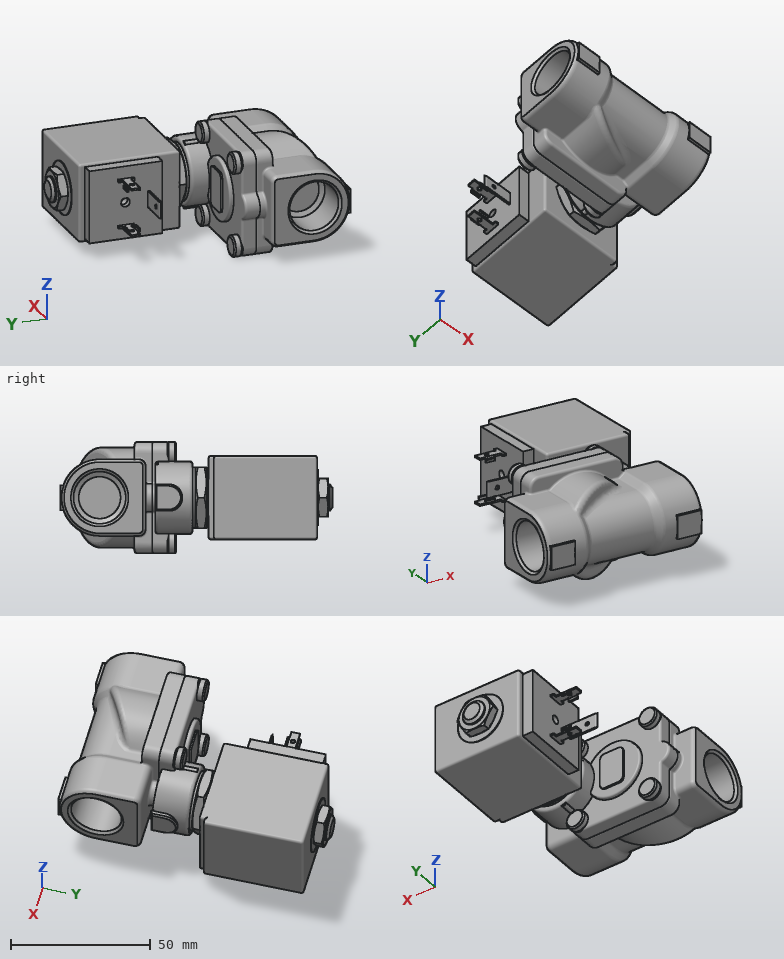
import cadquery as cq
import math


PORT_END_X = 33.0
PORT_INNER_X = 13.7
PORT_RADIUS = 13.8
PORT_TOP_Y = 16.5
PORT_CORNER = 2.4
PORT_END_ROUNDING = 2.1
PORT_END_TRIM = 0.34
PORT_SHOULDER_LENGTH = 2.7
PORT_SHOULDER_FILLET = 1.95
NECK_RADIUS = 11.7
NECK_END_X = 24.4
NECK_FILLET = 1.5
BORE_RADIUS = 9.4
BORE_MOUTH_RADIUS = 10.3
BORE_DEPTH = 14.6
BORE_TAPER_LENGTH = 1.1
BORE_FLOOR_RADIUS = 7.5
WRENCH_PAD_LENGTH = 10.1
WRENCH_PAD_WIDTH = 9.1
WRENCH_PAD_X = 26.9
WRENCH_PAD_Y = -14.0

CHAMBER_X = -4.1
CHAMBER_RADIUS = 18.0
CHAMBER_SLOPE = 27.0
CHAMBER_FLOOR_Y = -1.5
CHAMBER_EDGE_FILLET = 2.0
CHAMBER_ROOT_FILLET = 2.5
CHAMBER_TOP_Y = 13.5

FLANGE_SIDE = 40.0
FLANGE_CORNER = 4.0
FLANGE_LOW_Y = 12.5
FLANGE_SPLIT_Y = 18.9
FLANGE_FILLET = 1.1
FLANGE_ROOT_FILLET = 0.8
SPLIT_FILLET_BODY = 0.4
SPLIT_FILLET_COVER = 0.6
LUG_RADIUS = 5.0
LUG_ROOT_FILLET = 0.9
LUG_LEFT_X = -22.8

COVER_TOP_Y = 24.8
COVER_TOP_FILLET = 1.0
SEAT_RADIUS = 3.9
SEAT_HEIGHT = 1.95
DISC_RADIUS = 12.0
DISC_TOP_Y = 26.4
DISC_FILLET = 0.7
PLATE_LENGTH = 10.1
PLATE_WIDTH = 15.4
PLATE_TOP_Y = 27.1
PLATE_CORNER = 1.95
BOSS_RADIUS = 13.0
BOSS_LOW_Y = 19.9
BOSS_TOP_Y = 33.4
BOSS_FILLET = 1.2
BOSS_RIB_RADIUS = 1.1
BOSS_RIB_OFFSET_X = -3.9
BOSS_RIB_TOP_Y = 32.7
BOSS_RIB_SINK = 0.4
PLUG_Y = 24.9
PLUG_RADIUS = 4.8
PLUG_END_X = 30.8
PLUG_CHAMFER = 0.6

SCREW_HEAD_RADIUS = FLANGE_CORNER
SCREW_HEAD_HEIGHT = 2.7
SCREW_HEAD_CHAMFER = 0.6
SCREW_RADIUS = 1.95
SCREW_DEPTH = 9.8

STEM_X = 17.0
STEM_RADIUS = 4.8
STEM_TOP_Y = 83.5
STEM_TIP_HEIGHT = 1.0
STEM_TIP_INSET = 1.3
STEM_COLLAR_RADIUS = 10.9
STEM_NECK_RADIUS = 6.6
HEX_LOW_Y = 34.3
HEX_TOP_Y = 38.4
HEX_CORNER_RADIUS = 12.7
HEX_CHAMFER_HEIGHT = 0.9
HEX_CHAMFER_INSET = 2.2

WASHER_RADIUS = 9.9
WASHER_HEIGHT = 0.3
NUT_TOP_Y = 81.9
NUT_CORNER_RADIUS = 8.0
NUT_CHAMFER_HEIGHT = 0.5
NUT_CHAMFER_INSET = 1.2

COIL_LEFT_X = 0.1
COIL_RIGHT_X = 37.55
COIL_LOW_Y = 39.0
COIL_TOP_Y = 78.0
COIL_DEPTH = 30.0
COIL_FILLET = 1.0
COIL_NOTCH = 1.95
SOCKET_X = -4.4
SOCKET_LOW_Y = 47.7
SOCKET_TOP_Y = 75.7
SOCKET_DEPTH = 27.9
SOCKET_Y = 61.8
SOCKET_HOLE_RADIUS = 1.7
SOCKET_HOLE_DEPTH = 3.9
SOCKET_HOLE_TIP_RADIUS = 0.1

BLADE_Y = 52.9
BLADE_LENGTH = 12.2
BLADE_WIDTH = 6.2
TERMINAL_THICKNESS = 0.7
TERMINAL_HOLE_RADIUS = 0.8
BLADE_HOLE_X = -12.2
BLADE_TIP_LENGTH = 1.0
BLADE_TIP_INSET = 0.3
TAB_Z = 9.3
TAB_LENGTH = 10.3
TAB_WIDTH = 3.2
TAB_FOOT_LENGTH = 1.5
TAB_FOOT_WIDTH = 6.1
TAB_HOLE_X = -10.7
TAB_WING_LENGTH = 3.9
TAB_WING_WIDTH = 5.1
TAB_WING_HEIGHT = 1.9

EMBED = 1.0
FAR = 97.5
EDGE_TOLERANCE = 0.05
JOINT_TOLERANCE = 0.001

SCREW_OFFSET = FLANGE_SIDE / 2 - FLANGE_CORNER
SCREW_POSITIONS = [
    (CHAMBER_X + side_x * SCREW_OFFSET, side_z * SCREW_OFFSET) for side_x in (-1, 1) for side_z in (-1, 1)
]


def upright_cylinder(x, z, radius, low_y, top_y):
    """Cylinder along Y."""
    return cq.Workplane("XZ", origin=(x, top_y, z)).circle(radius).extrude(top_y - low_y)


def block(low_x, high_x, low_y, high_y, low_z, high_z):
    """Box between given limits."""
    box = cq.Workplane("XY").box(high_x - low_x, high_y - low_y, high_z - low_z, centered=False)
    return box.translate((low_x, low_y, low_z))


def flange_plate(low_y, top_y):
    """Square plate with rounded corners and a round lug on each X side."""
    thickness = top_y - low_y
    plate = cq.Workplane("XZ", origin=(CHAMBER_X, top_y, 0)).rect(FLANGE_SIDE, FLANGE_SIDE).extrude(thickness)
    plate = plate.edges("|Y").fillet(FLANGE_CORNER)
    for lug_x in (LUG_LEFT_X, STEM_X):
        plate = plate.union(upright_cylinder(lug_x, 0, LUG_RADIUS, low_y, top_y))
    lug_roots = cq.selectors.BoxSelector((-FAR, -FAR, -LUG_RADIUS), (FAR, FAR, LUG_RADIUS))
    return plate.edges("|Y").edges(lug_roots).fillet(LUG_ROOT_FILLET)


def chamfered_hexagon(low_y, top_y, corner_radius, chamfer_height, chamfer_inset):
    """Hexagon on the stem axis, corners along X, with conical chamfers at both ends."""
    hexagon = cq.Workplane("XZ", origin=(STEM_X, top_y, 0)).polygon(6, 2 * corner_radius)
    hexagon = hexagon.extrude(top_y - low_y)
    cone = (
        upright_cylinder(STEM_X, 0, corner_radius, low_y, top_y)
        .faces("<Y or >Y")
        .chamfer(chamfer_height, chamfer_inset)
    )
    return hexagon.intersect(cone)


def pipe_section(low_x, high_x, radius, top_y, corner):
    """Bar along X, half round below the pipe axis and square with rounded corners above it."""
    diagonal = corner * (1 - math.sqrt(0.5))
    return (
        cq.Workplane("YZ", origin=(low_x, 0, 0))
        .moveTo(0, -radius)
        .lineTo(top_y - corner, -radius)
        .threePointArc((top_y - diagonal, -radius + diagonal), (top_y, -radius + corner))
        .lineTo(top_y, radius - corner)
        .threePointArc((top_y - diagonal, radius - diagonal), (top_y - corner, radius))
        .lineTo(0, radius)
        .threePointArc((-radius, 0), (0, -radius))
        .close()
        .extrude(high_x - low_x)
    )


def edges_at_x(shape, x):
    """Edges lying in the plane across the pipe at a given X."""
    low = (x - EDGE_TOLERANCE, -FAR, -FAR)
    high = (x + EDGE_TOLERANCE, FAR, FAR)
    return shape.edges(cq.selectors.BoxSelector(low, high))


def joint_edges(joined, first, second, below_y):
    """Edges along which two shapes meet in their union, with middles below a given height."""

    def in_joint(edge):
        middle = cq.Vertex.makeVertex(*edge.positionAt(0.5).toTuple())
        touches_both = all(middle.distance(shape.val()) < JOINT_TOLERANCE for shape in (first, second))
        return touches_both and middle.Y < below_y

    return joined.newObject([edge for edge in joined.edges().vals() if in_joint(edge)])


def right_port():
    port = pipe_section(PORT_INNER_X, PORT_END_X + PORT_END_TRIM, PORT_RADIUS, PORT_TOP_Y, PORT_CORNER)
    port = port.faces(">X").edges().fillet(PORT_END_ROUNDING)
    port = port.faces("<X").edges().chamfer(PORT_SHOULDER_LENGTH, PORT_RADIUS - NECK_RADIUS)
    shoulder_x = PORT_INNER_X + PORT_SHOULDER_LENGTH
    port = edges_at_x(port, shoulder_x).fillet(PORT_SHOULDER_FILLET)
    return port.intersect(block(0, PORT_END_X, -FAR, FAR, -FAR, FAR))


def right_bore():
    """Threaded mouth, blind bore and conical floor of the right port."""
    mouth_depth = BORE_MOUTH_RADIUS - BORE_RADIUS
    return (
        cq.Workplane("XY")
        .moveTo(PORT_END_X, 0)
        .lineTo(PORT_END_X, BORE_MOUTH_RADIUS)
        .lineTo(PORT_END_X - mouth_depth, BORE_RADIUS)
        .lineTo(PORT_END_X - BORE_DEPTH, BORE_RADIUS)
        .lineTo(PORT_END_X - BORE_DEPTH - BORE_TAPER_LENGTH, BORE_FLOOR_RADIUS)
        .lineTo(PORT_END_X - BORE_DEPTH - BORE_TAPER_LENGTH, 0)
        .close()
        .revolve(360, (0, 0, 0), (1, 0, 0))
    )


def chamber():
    """Round chamber whose floor slopes up towards the outlet."""
    reach = 2 * CHAMBER_RADIUS
    rise = reach * math.tan(math.radians(CHAMBER_SLOPE))
    under_floor = (
        cq.Workplane("XY")
        .polyline(
            [
                (CHAMBER_X - reach, CHAMBER_FLOOR_Y - rise),
                (CHAMBER_X + reach, CHAMBER_FLOOR_Y + rise),
                (CHAMBER_X + reach, -reach),
            ]
        )
        .close()
        .extrude(reach, both=True)
    )
    drum = upright_cylinder(CHAMBER_X, 0, CHAMBER_RADIUS, -CHAMBER_RADIUS, CHAMBER_TOP_Y)
    return drum.cut(under_floor).faces("<Y").edges().fillet(CHAMBER_EDGE_FILLET)


def make_pipe():
    """Neck, chamber and both ports with their concave fillets."""
    shoulder = PORT_RADIUS - NECK_RADIUS
    neck = pipe_section(-NECK_END_X, NECK_END_X, NECK_RADIUS, PORT_TOP_Y - shoulder, PORT_CORNER - shoulder)
    drum = chamber()
    pipe = neck.union(drum)
    pipe = joint_edges(pipe, neck, drum, FLANGE_LOW_Y).fillet(CHAMBER_ROOT_FILLET)
    port = right_port()
    pipe = pipe.union(port).union(port.mirror("YZ"))
    for side in (-1, 1):
        pipe = edges_at_x(pipe, side * PORT_INNER_X).fillet(NECK_FILLET)
    return pipe


def make_body():
    flange = flange_plate(FLANGE_LOW_Y, FLANGE_SPLIT_Y)
    flange = flange.faces("<Y").edges().fillet(FLANGE_FILLET)
    pipe = make_pipe()
    body = pipe.union(flange)
    body = joint_edges(body, pipe, flange, FLANGE_SPLIT_Y).fillet(FLANGE_ROOT_FILLET)
    body = body.faces(">Y").edges().fillet(SPLIT_FILLET_BODY)
    for side in (-1, 1):
        pad_x = side * WRENCH_PAD_X
        body = body.union(
            block(
                pad_x - WRENCH_PAD_LENGTH / 2,
                pad_x + WRENCH_PAD_LENGTH / 2,
                WRENCH_PAD_Y,
                -BORE_MOUTH_RADIUS - EMBED,
                -WRENCH_PAD_WIDTH / 2,
                WRENCH_PAD_WIDTH / 2,
            )
        )
    bore = right_bore()
    body = body.cut(bore).cut(bore.mirror("YZ"))
    for x, z in SCREW_POSITIONS:
        body = body.cut(upright_cylinder(x, z, SCREW_RADIUS, COVER_TOP_Y - SCREW_DEPTH, COVER_TOP_Y))
    return body


def stem_boss():
    """Round boss under the stem, with two slim ribs and a pilot plug pointing to +X."""
    boss = upright_cylinder(STEM_X, 0, BOSS_RADIUS, BOSS_LOW_Y, BOSS_TOP_Y)
    boss = boss.faces("<Y or >Y").edges().fillet(BOSS_FILLET)
    rib_z = math.sqrt(BOSS_RADIUS**2 - BOSS_RIB_OFFSET_X**2) - BOSS_RIB_SINK
    for z in (-rib_z, rib_z):
        rib_x = STEM_X + BOSS_RIB_OFFSET_X
        boss = boss.union(upright_cylinder(rib_x, z, BOSS_RIB_RADIUS, COVER_TOP_Y - EMBED, BOSS_RIB_TOP_Y))
    plug = cq.Workplane("YZ", origin=(STEM_X, PLUG_Y, 0)).circle(PLUG_RADIUS).extrude(PLUG_END_X - STEM_X)
    plug = plug.union(block(STEM_X, PLUG_END_X, BOSS_LOW_Y, PLUG_Y, -PLUG_RADIUS, PLUG_RADIUS))
    plug = plug.faces(">X").edges().chamfer(PLUG_CHAMFER)
    return boss.union(plug)


def make_cover():
    cover = flange_plate(FLANGE_SPLIT_Y, COVER_TOP_Y)
    cover = cover.faces(">Y").edges().fillet(COVER_TOP_FILLET)
    cover = cover.faces("<Y").edges().fillet(SPLIT_FILLET_COVER)
    for x, z in SCREW_POSITIONS:
        cover = cover.union(upright_cylinder(x, z, SEAT_RADIUS, COVER_TOP_Y - SEAT_HEIGHT, COVER_TOP_Y))
    disc = upright_cylinder(CHAMBER_X, 0, DISC_RADIUS, COVER_TOP_Y - EMBED, DISC_TOP_Y)
    cover = cover.union(disc.faces(">Y").edges().fillet(DISC_FILLET))
    plate = (
        cq.Workplane("XZ", origin=(CHAMBER_X, PLATE_TOP_Y, 0))
        .rect(PLATE_LENGTH, PLATE_WIDTH)
        .extrude(PLATE_TOP_Y - COVER_TOP_Y)
        .edges("|Y")
        .fillet(PLATE_CORNER)
    )
    cover = cover.union(plate)
    cover = cover.union(stem_boss())
    head_top_y = COVER_TOP_Y + SCREW_HEAD_HEIGHT
    for x, z in SCREW_POSITIONS:
        cover = cover.cut(upright_cylinder(x, z, SCREW_RADIUS, FLANGE_SPLIT_Y, COVER_TOP_Y))
        cover = cover.cut(upright_cylinder(x, z, SCREW_HEAD_RADIUS, COVER_TOP_Y, head_top_y))
    return cover


def make_screw(x, z):
    head = upright_cylinder(x, z, SCREW_HEAD_RADIUS, COVER_TOP_Y, COVER_TOP_Y + SCREW_HEAD_HEIGHT)
    head = head.faces(">Y").chamfer(SCREW_HEAD_CHAMFER)
    return head.union(upright_cylinder(x, z, SCREW_RADIUS, COVER_TOP_Y - SCREW_DEPTH, COVER_TOP_Y))


def make_stem():
    stem = upright_cylinder(STEM_X, 0, STEM_RADIUS, HEX_TOP_Y, STEM_TOP_Y)
    stem = stem.faces(">Y").chamfer(STEM_TIP_HEIGHT, STEM_TIP_INSET)
    stem = stem.union(upright_cylinder(STEM_X, 0, STEM_NECK_RADIUS, HEX_TOP_Y, COIL_LOW_Y))
    stem = stem.union(
        chamfered_hexagon(HEX_LOW_Y, HEX_TOP_Y, HEX_CORNER_RADIUS, HEX_CHAMFER_HEIGHT, HEX_CHAMFER_INSET)
    )
    return stem.union(upright_cylinder(STEM_X, 0, STEM_COLLAR_RADIUS, BOSS_TOP_Y, HEX_LOW_Y))


def stem_hole():
    return upright_cylinder(STEM_X, 0, STEM_RADIUS, COIL_LOW_Y, STEM_TOP_Y)


def make_washer():
    washer = upright_cylinder(STEM_X, 0, WASHER_RADIUS, COIL_TOP_Y, COIL_TOP_Y + WASHER_HEIGHT)
    return washer.cut(stem_hole())


def make_nut():
    nut = chamfered_hexagon(
        COIL_TOP_Y + WASHER_HEIGHT, NUT_TOP_Y, NUT_CORNER_RADIUS, NUT_CHAMFER_HEIGHT, NUT_CHAMFER_INSET
    )
    return nut.cut(stem_hole())


def terminal_blade():
    low_y = BLADE_Y - TERMINAL_THICKNESS / 2
    high_y = BLADE_Y + TERMINAL_THICKNESS / 2
    half_width = BLADE_WIDTH / 2
    tip_x = SOCKET_X - BLADE_LENGTH
    blade = block(tip_x, SOCKET_X, low_y, high_y, -half_width, half_width)
    blade = blade.faces("<X").edges("|Z").chamfer(BLADE_TIP_INSET, BLADE_TIP_LENGTH)
    hole = upright_cylinder(BLADE_HOLE_X, 0, TERMINAL_HOLE_RADIUS, low_y, high_y)
    return blade.cut(hole)


def terminal_tab():
    """Flat tab at +Z with two wings folded towards the middle."""
    low_z = TAB_Z - TERMINAL_THICKNESS

    def strip(low_x, high_x, width, bottom_z):
        return block(low_x, high_x, SOCKET_Y - width / 2, SOCKET_Y + width / 2, bottom_z, TAB_Z)

    wing_x = TAB_HOLE_X - TAB_WING_LENGTH / 2, TAB_HOLE_X + TAB_WING_LENGTH / 2
    tab = strip(SOCKET_X - TAB_LENGTH, SOCKET_X, TAB_WIDTH, low_z)
    tab = tab.union(strip(SOCKET_X - TAB_FOOT_LENGTH, SOCKET_X, TAB_FOOT_WIDTH, low_z))
    wings = strip(*wing_x, TAB_WING_WIDTH, TAB_Z - TAB_WING_HEIGHT)
    wings = wings.faces(">Z").edges("|X").chamfer((TAB_WING_WIDTH - TAB_WIDTH) / 2)
    gap = TAB_WING_WIDTH / 2 - TERMINAL_THICKNESS
    wings = wings.cut(block(*wing_x, SOCKET_Y - gap, SOCKET_Y + gap, 0, low_z))
    hole = cq.Workplane("XY").center(TAB_HOLE_X, SOCKET_Y).circle(TERMINAL_HOLE_RADIUS).extrude(COIL_DEPTH)
    return tab.union(wings).cut(hole)


def make_coil():
    half_depth = COIL_DEPTH / 2
    coil = block(COIL_LEFT_X, COIL_RIGHT_X, COIL_LOW_Y, COIL_TOP_Y, -half_depth, half_depth)
    notch_x = COIL_RIGHT_X - COIL_NOTCH
    notch_y = COIL_LOW_Y + COIL_NOTCH
    coil = coil.cut(block(notch_x, COIL_RIGHT_X, COIL_LOW_Y, notch_y, -half_depth, half_depth))
    inner_corner = cq.Vector(notch_x, notch_y, 0)
    outer_edges = [
        edge for edge in coil.edges().vals() if (edge.Center() - inner_corner).Length > EDGE_TOLERANCE
    ]
    coil = coil.newObject(outer_edges).fillet(COIL_FILLET)
    half_socket = SOCKET_DEPTH / 2
    socket_root_x = COIL_LEFT_X + COIL_FILLET + EMBED
    coil = coil.union(block(SOCKET_X, socket_root_x, SOCKET_LOW_Y, SOCKET_TOP_Y, -half_socket, half_socket))
    hole = cq.Workplane("YZ", origin=(SOCKET_X, SOCKET_Y, 0)).circle(SOCKET_HOLE_RADIUS)
    hole = hole.extrude(SOCKET_HOLE_DEPTH)
    hole = hole.faces(">X").chamfer(SOCKET_HOLE_RADIUS - SOCKET_HOLE_TIP_RADIUS)
    coil = coil.cut(hole).cut(stem_hole())
    tab = terminal_tab()
    return coil.union(terminal_blade()).union(tab).union(tab.mirror("XY"))


body = make_body()
cover = make_cover()
screws = [make_screw(x, z) for x, z in SCREW_POSITIONS]
stem = make_stem()
washer = make_washer()
nut = make_nut()
coil = make_coil()

result = cq.Compound.makeCompound(
    [
        body.val(),
        cover.val(),
        *[screw.val() for screw in screws],
        stem.val(),
        washer.val(),
        nut.val(),
        coil.val(),
    ]
)